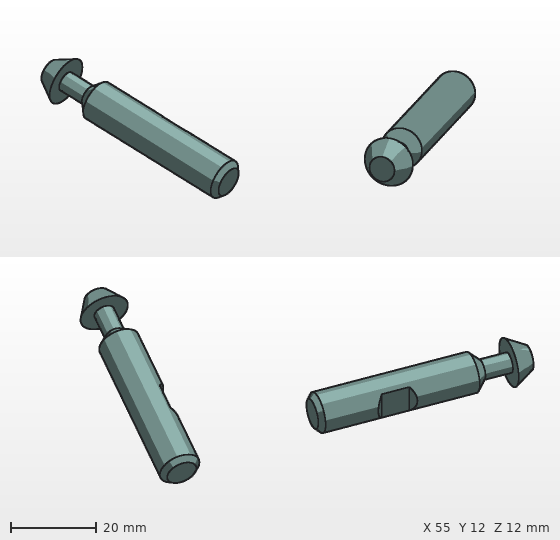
import cadquery as cq
import math

length = 55.0

head_length = 5.0
head_radius = 6.0
head_half_angle = 30.0
head_tip_radius = head_radius - head_length * math.tan(math.radians(head_half_angle))

neck_radius = 2.5
neck_end = 12.0
shank_radius = 5.0
shoulder_end = neck_end + shank_radius - neck_radius
end_chamfer = 1.3

notch_depth = 1.5
notch_floor_length = 7.0
notch_centre = 35.3


def turned_body():
    """Revolve the half profile of the pin about the X axis."""
    return (
        cq.Workplane("XY")
        .polyline([
            (0, 0),
            (0, head_tip_radius),
            (head_length, head_radius),
            (head_length, neck_radius),
            (neck_end, neck_radius),
            (shoulder_end, shank_radius),
            (length - end_chamfer, shank_radius),
            (length, shank_radius - end_chamfer),
            (length, 0),
        ])
        .close()
        .revolve(360, (0, 0, 0), (1, 0, 0))
    )


def clamping_notch():
    """Trapezoidal cutter that passes through the shank along Z."""
    floor_y = shank_radius - notch_depth
    half_floor = notch_floor_length / 2
    half_mouth = half_floor + notch_depth
    return (
        cq.Workplane("XY")
        .polyline([
            (notch_centre - half_floor, floor_y),
            (notch_centre + half_floor, floor_y),
            (notch_centre + half_mouth, shank_radius),
            (notch_centre - half_mouth, shank_radius),
        ])
        .close()
        .extrude(shank_radius, both=True)
    )


result = turned_body().cut(clamping_notch())